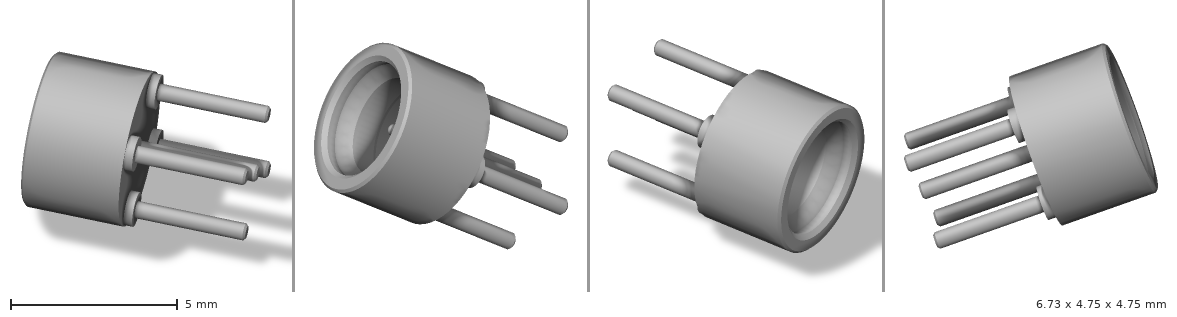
import cadquery as cq

total_length = 6.73
body_length = 3.05
body_radius = 2.375
body_chamfer = 0.08

mouth_radius = 1.945
lead_in_radius = 1.81
bore_radius = 1.53
lead_in_depth = 0.135
taper_start = 0.42
taper_end = 0.875
flare_start = 1.67
flare_end = 1.76
inner_radius = 1.55
floor_depth = 2.29

contact_radius = 0.195
contact_tip = 1.07
nose_center = contact_tip + contact_radius
bead_radius = 0.4
bead_height = 0.035

pin_radius = 0.26
pin_chamfer = 0.07
pin_root = (floor_depth + body_length) / 2
pin_offset = 1.27
collar_radius = 0.53
collar_length = 0.26


def rod(radius, start, end, y=0, z=0):
    """Cylinder along X between two X positions."""
    return cq.Workplane("YZ", origin=(start, y, z)).circle(radius).extrude(end - start)


def make_body():
    """Cup with a tapered mouth and a slightly wider inner end."""
    profile = [
        (0, mouth_radius),
        (0, body_radius - body_chamfer),
        (body_chamfer, body_radius),
        (body_length, body_radius),
        (body_length, 0),
        (floor_depth, 0),
        (floor_depth, inner_radius),
        (flare_end, inner_radius),
        (flare_start, bore_radius),
        (taper_end, bore_radius),
        (taper_start, lead_in_radius),
        (lead_in_depth, lead_in_radius),
    ]
    return cq.Workplane("XY").polyline(profile).close().revolve(360, (0, 0, 0), (1, 0, 0))


def make_contact():
    """Round-nosed contact standing on a low bead at the socket floor."""
    contact = rod(contact_radius, nose_center, body_length)
    nose = cq.Workplane("XY").sphere(contact_radius).translate((nose_center, 0, 0))
    bead = rod(bead_radius, floor_depth - bead_height, body_length)
    return contact.union(nose).union(bead)


def make_pin(y, z):
    """Rear pin with a chamfered free end, rooted in the body."""
    pin = rod(pin_radius, pin_root, total_length, y, z)
    return pin.faces(">X").chamfer(pin_chamfer)


result = make_body().union(make_contact()).union(make_pin(0, 0))
for y in (-pin_offset, pin_offset):
    for z in (-pin_offset, pin_offset):
        collar = rod(collar_radius, pin_root, body_length + collar_length, y, z)
        result = result.union(collar).union(make_pin(y, z))